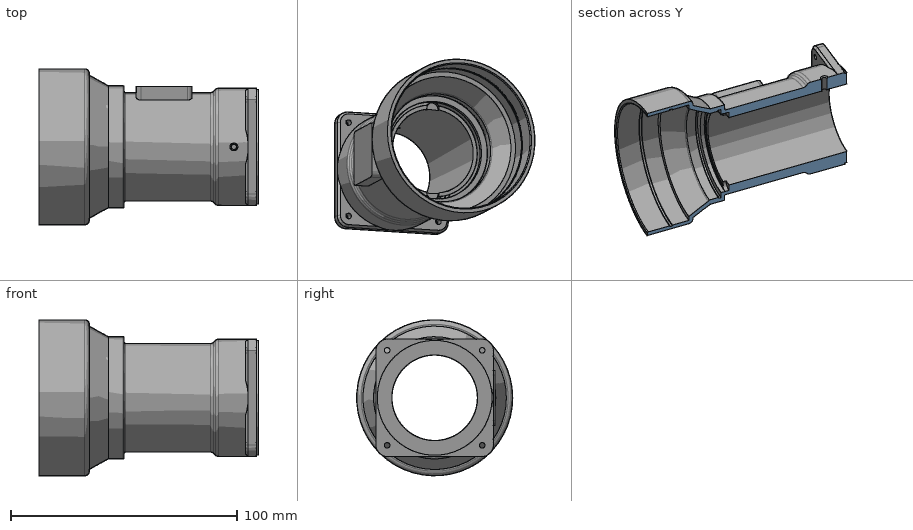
import cadquery as cq
import math

length = 97.2

bell_radius = 34.5
bell_end = 22.4
bell_fillet = 2.0
cone_start_radius = 31.7
collar_start = 30.7
collar_end = 37.7
collar_radius = 27.0
collar_fillet = 0.5
tube_radius = 24.0
tube_fillet = 0.7
head_radius = 26.0
blend_start = 75.8
blend_radius = 2.0
blend_angle = 45
rim_radius = 25.4

mouth_radius = 32.4
mouth_depth = 20.2
seat_radius = 30.2
throat_start = 29.75
throat_radius = 24.2
ledge_start = 35.9
recess_radius = 21.9
recess_end = 37.8
lip_radius = 20.6
lip_length = 0.4
bore_radius = 18.9
edge_chamfer = 0.5
groove_depth = 0.5
mouth_groove_start = 11.1
mouth_groove_width = 1.2
throat_groove_width = 1.1

notch_radius = 2.9
notch_offset = recess_radius - notch_radius
notch_depth = 1.9

flange_front = 91.5
flange_back = 96.15
flange_side = 2 * head_radius
flange_corner = 5.1
flange_chamfer = 1.1
mount_hole_offset = 21.0
mount_hole_diameter = 2.4

pad_start = 43.1
pad_end = 67.8
pad_face = 26.7
pad_height = 24.3
pad_corner = 2.0

screw_x = 86.2
screw_radius = 1.2
screw_mouth_radius = 1.75


def make_body():
    """Revolve the outer outline, with an S-shaped blend between tube and head."""
    arc_run = blend_radius * math.sin(math.radians(blend_angle))
    arc_rise = blend_radius * (1 - math.cos(math.radians(blend_angle)))
    mid_run = blend_radius * math.sin(math.radians(blend_angle / 2))
    mid_rise = blend_radius * (1 - math.cos(math.radians(blend_angle / 2)))
    slope_rise = head_radius - tube_radius - 2 * arc_rise
    slope_start = blend_start + arc_run
    slope_end = slope_start + slope_rise / math.tan(math.radians(blend_angle))
    head_start = slope_end + arc_run
    outline = (
        cq.Workplane("XY")
        .lineTo(0, bell_radius)
        .lineTo(bell_end - bell_fillet, bell_radius)
        .radiusArc((bell_end, bell_radius - bell_fillet), bell_fillet)
        .lineTo(bell_end, cone_start_radius)
        .lineTo(collar_start, collar_radius)
        .lineTo(collar_end - collar_fillet, collar_radius)
        .radiusArc((collar_end, collar_radius - collar_fillet), collar_fillet)
        .lineTo(collar_end, tube_radius + tube_fillet)
        .radiusArc((collar_end + tube_fillet, tube_radius), -tube_fillet)
        .lineTo(blend_start, tube_radius)
        .threePointArc(
            (blend_start + mid_run, tube_radius + mid_rise),
            (slope_start, tube_radius + arc_rise),
        )
        .lineTo(slope_end, head_radius - arc_rise)
        .threePointArc((head_start - mid_run, head_radius - mid_rise), (head_start, head_radius))
        .lineTo(flange_back, head_radius)
        .lineTo(flange_back, rim_radius)
        .lineTo(length, rim_radius)
        .lineTo(length, 0)
        .close()
    )
    return outline.revolve(360, (0, 0, 0), (1, 0, 0))


def make_flange():
    """Square rear flange with its front edge chamfered and a hole in each corner."""
    hole_spacing = 2 * mount_hole_offset
    return (
        cq.Workplane("YZ", origin=(flange_front, 0, 0))
        .rect(flange_side, flange_side)
        .extrude(flange_back - flange_front)
        .edges("|X")
        .fillet(flange_corner)
        .faces("<X")
        .chamfer(flange_chamfer)
        .faces(">X")
        .workplane(origin=(0, 0, 0))
        .rect(hole_spacing, hole_spacing, forConstruction=True)
        .vertices()
        .hole(mount_hole_diameter)
    )


def make_pad():
    """Flat-faced pad on the +Y side of the tube."""
    return (
        cq.Workplane("XY")
        .box(pad_end - pad_start, pad_face, pad_height, centered=(False, False, True))
        .translate((pad_start, 0, 0))
        .edges("|Y")
        .fillet(pad_corner)
    )


def make_bore():
    """Revolve the stepped bore, including its grooves and chamfered mouths."""
    mouth_groove_radius = mouth_radius + groove_depth
    mouth_groove_end = mouth_groove_start + mouth_groove_width
    throat_groove_radius = throat_radius + groove_depth
    throat_groove_start = ledge_start - throat_groove_width
    lip_end = recess_end + lip_length
    outline = [
        (0, 0),
        (0, mouth_radius + edge_chamfer),
        (edge_chamfer, mouth_radius),
        (mouth_groove_start, mouth_radius),
        (mouth_groove_start, mouth_groove_radius),
        (mouth_groove_end, mouth_groove_radius),
        (mouth_groove_end, mouth_radius),
        (mouth_depth, mouth_radius),
        (mouth_depth, seat_radius),
        (throat_start, throat_radius + edge_chamfer),
        (throat_start + edge_chamfer, throat_radius),
        (throat_groove_start, throat_radius),
        (throat_groove_start, throat_groove_radius),
        (ledge_start, throat_groove_radius),
        (ledge_start, recess_radius),
        (recess_end, recess_radius),
        (recess_end, lip_radius),
        (lip_end, lip_radius),
        (lip_end, bore_radius),
        (length, bore_radius),
        (length, 0),
    ]
    return cq.Workplane("XY").polyline(outline).close().revolve(360, (0, 0, 0), (1, 0, 0))


def make_notches():
    """Two round notches sunk into the bore ledge, at top and bottom."""
    return (
        cq.Workplane("YZ", origin=(recess_end, 0, 0))
        .pushPoints([(0, notch_offset), (0, -notch_offset)])
        .circle(notch_radius)
        .extrude(notch_depth)
    )


def make_screw_hole():
    """Radial hole through the top of the head, countersunk at 45 degrees."""
    sink_depth = screw_mouth_radius - screw_radius
    outline = [
        (0, 0),
        (screw_radius, 0),
        (screw_radius, head_radius - sink_depth),
        (screw_mouth_radius, head_radius),
        (0, head_radius),
    ]
    hole = cq.Workplane("XZ").polyline(outline).close().revolve(360, (0, 0, 0), (0, 1, 0))
    return hole.translate((screw_x, 0, 0))


solid = make_body().union(make_flange()).union(make_pad())
result = solid.cut(make_bore()).cut(make_notches()).cut(make_screw_hole())